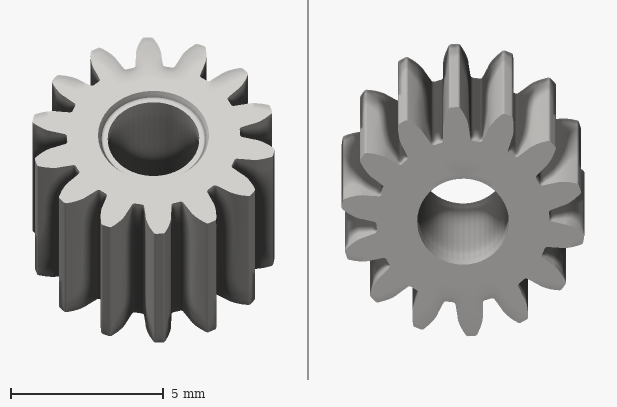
import cadquery as cq
import math

tooth_count = 14
tip_diameter = 8.0
face_width = 6.0
pressure_angle = math.radians(20)

module = tip_diameter / (tooth_count + 2)
pitch_radius = module * tooth_count / 2
base_radius = pitch_radius * math.cos(pressure_angle)
tip_radius = tip_diameter / 2
tooth_pitch = 2 * math.pi / tooth_count

root_radius = 2.83
root_half_thickness = 0.46
corner_fillet = 0.1
involute_steps = 8

bore_diameter = 3.0
recess_floor_diameter = 3.4
recess_depth = 0.2
recess_wall_angle = math.radians(30)


def involute(angle):
    return math.tan(angle) - angle


base_half_angle = math.pi / (2 * tooth_count) + involute(pressure_angle)
root_half_angle = math.asin(root_half_thickness / root_radius)


def polar(radius, angle):
    """Point at a radius and at an angle measured clockwise from +Y."""
    return (radius * math.sin(angle), radius * math.cos(angle))


def flank_half_angle(radius):
    """Half of the angle that the tooth spans at a radius above the base circle."""
    return base_half_angle - involute(math.acos(base_radius / radius))


def flank_points(center, side):
    """Involute points from the base circle to the tip; side is -1 or 1."""
    radii = [
        base_radius + (tip_radius - base_radius) * step / involute_steps
        for step in range(involute_steps + 1)
    ]
    return [polar(radius, center + side * flank_half_angle(radius)) for radius in radii]


def gear_outline():
    """Closed outline, running clockwise from the first tooth at +Y."""
    outline = cq.Workplane("XY").moveTo(*polar(root_radius, -root_half_angle))
    for tooth in range(tooth_count):
        center = tooth * tooth_pitch
        rising = flank_points(center, -1)
        falling = flank_points(center, 1)[::-1]
        gap_center = center + tooth_pitch / 2
        next_foot = center + tooth_pitch - root_half_angle
        outline = (
            outline.lineTo(*rising[0])
            .spline(rising[1:], includeCurrent=True)
            .threePointArc(polar(tip_radius, center), falling[0])
            .spline(falling[1:], includeCurrent=True)
            .lineTo(*polar(root_radius, center + root_half_angle))
            .threePointArc(polar(root_radius, gap_center), polar(root_radius, next_foot))
        )
    return outline.close()


def is_tip_or_root_corner(edge):
    """True for corner edges, false for the joint on the base circle."""
    center = edge.Center()
    radius = math.hypot(center.x, center.y)
    return not math.isclose(radius, base_radius, rel_tol=0.01)


def toothed_body():
    body = gear_outline().extrude(face_width)
    return body.edges("|Z").filter(is_tip_or_root_corner).fillet(corner_fillet)


def tapered_recess():
    floor_radius = recess_floor_diameter / 2
    mouth_radius = floor_radius + recess_depth * math.tan(recess_wall_angle)
    floor_height = face_width - recess_depth
    return (
        cq.Workplane("XZ")
        .moveTo(0, floor_height)
        .lineTo(floor_radius, floor_height)
        .lineTo(mouth_radius, face_width)
        .lineTo(0, face_width)
        .close()
        .revolve(360, (0, 0), (0, 1))
    )


bore = cq.Workplane("XY").circle(bore_diameter / 2).extrude(face_width)
result = toothed_body().cut(bore).cut(tapered_recess())